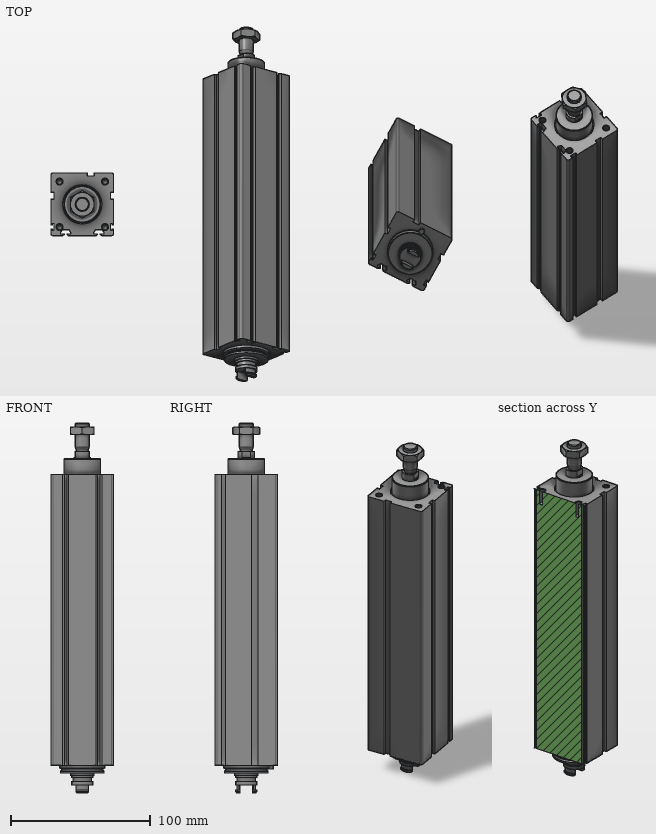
import cadquery as cq
import math


TOTAL_HEIGHT = 264.8
TAIL_LENGTH = 19.5
ROD_TOP = TOTAL_HEIGHT - TAIL_LENGTH

WIDTH = 45.0
HALF = WIDTH / 2
HOUSING_HEIGHT = 208.5
CORNER_RADIUS = 1.5
CORNER_HOLE_SPACING = 32.5
CORNER_HOLE_DIAMETER = 4.0
CORNER_HOLE_DEPTH = 10.5
CORNER_HOLE_MOUTH = 5.0
DRILL_POINT_ANGLE = 118
PLAIN_SLOT_WIDTH = 4.8
PLAIN_SLOT_DEPTH = 2.0
PLAIN_SLOT_OFFSET = 6.0
SIDE_SLOT_Y = -16.2
SIDE_SLOT_OPENING = 3.0
SIDE_SLOT_INNER_WIDTH = 4.5
SIDE_SLOT_LIP = 1.0
SIDE_SLOT_DEPTH = 2.0
FRONT_SLOT_X = 12.0
FRONT_SLOT_MOUTH = 4.5
FRONT_SLOT_MOUTH_DEPTH = 0.8
FRONT_SLOT_OPENING = 1.9
FRONT_SLOT_INNER_WIDTH = 7.1
FRONT_SLOT_FLOOR = 4.8
FRONT_SLOT_LIP = 1.3
FRONT_SLOT_SHOULDER = 2.5
FRONT_SLOT_DEPTH = 4.2
RECESS_DIAMETER = 28.0
RECESS_DEPTH = 1.5
RECESS_FLOOR = HOUSING_HEIGHT - RECESS_DEPTH

COLLAR_DIAMETER = 26.5
COLLAR_TOP = HOUSING_HEIGHT + 11.0
COLLAR_CHAMFER = 0.5

ROD_DIAMETER = 12.0
ROD_FLATS = 10.0
FLATS_BOTTOM = COLLAR_TOP + 0.8
FLATS_TOP = FLATS_BOTTOM + 4.5
NECK_DIAMETER = 8.7
NECK_TOP = FLATS_TOP + 1.0
THREAD_DIAMETER = 10.0
THREAD_CHAMFER = (THREAD_DIAMETER - NECK_DIAMETER) / 2
THREAD_BOTTOM = NECK_TOP + 2.0

NUT_FLATS = 17.0
NUT_HEIGHT = 5.5
NUT_TOP_GAP = 3.0
NUT_CHAMFER_ANGLE = 25

FLANGE_DIAMETER = 32.5
FLANGE_NECK_DIAMETER = 29.7
FLANGE_RIM_DIAMETER = 31.2
FLANGE_EDGE = 1.9
FLANGE_NECK_TOP = 2.5
FLANGE_NECK_BOTTOM = 3.2
FLANGE_RIM_TOP = 4.2
FLANGE_DEPTH = 5.5

SHOULDER_DIAMETER = 17.0
BAND_DIAMETER = 15.4
GROOVE_DIAMETER = 13.5
SHOULDER_BOTTOM = 7.1
UPPER_BAND_BOTTOM = 8.7
GROOVE_BOTTOM = 11.7
LOWER_BAND_BOTTOM = 14.0
BARB_TOP = 17.5
BARB_EDGE = 18.5
BARB_CHAMFER = 0.8
PRONG_WIDTH = 9.0
PRONG_GAP = 8.7

PIN_DIAMETER = 4.0
PIN_Y = 17.5
PIN_LENGTH = 2.6


def revolve_profile(points):
    """Solid of revolution about Z from (radius, height) points."""
    return cq.Workplane("XZ").polyline(points).close().revolve(360, (0, 0, 0), (0, 1, 0))


def disc(diameter, bottom, top):
    return cq.Workplane("XY").workplane(offset=bottom).circle(diameter / 2).extrude(top - bottom)


def slot(points):
    """Full-height cutter from a closed XY outline."""
    return cq.Workplane("XY").polyline(points).close().extrude(HOUSING_HEIGHT)


def plain_slots():
    """Three rectangular slots: one on the +Y side and one on each X side."""
    across = 2 * PLAIN_SLOT_DEPTH
    back = (
        cq.Workplane("XY")
        .center(PLAIN_SLOT_OFFSET, HALF)
        .rect(PLAIN_SLOT_WIDTH, across)
        .extrude(HOUSING_HEIGHT)
    )
    sides = (
        cq.Workplane("XY")
        .pushPoints([(-HALF, PLAIN_SLOT_OFFSET), (HALF, PLAIN_SLOT_OFFSET)])
        .rect(across, PLAIN_SLOT_WIDTH)
        .extrude(HOUSING_HEIGHT)
    )
    return back.add(sides).combine()


def side_slot():
    """T-slot on the -X side."""
    opening = SIDE_SLOT_OPENING / 2
    inner = SIDE_SLOT_INNER_WIDTH / 2
    lip = SIDE_SLOT_LIP - HALF
    floor = SIDE_SLOT_DEPTH - HALF
    return slot([
        (-HALF, SIDE_SLOT_Y - opening),
        (lip, SIDE_SLOT_Y - opening),
        (lip, SIDE_SLOT_Y - inner),
        (floor, SIDE_SLOT_Y - inner),
        (floor, SIDE_SLOT_Y + inner),
        (lip, SIDE_SLOT_Y + inner),
        (lip, SIDE_SLOT_Y + opening),
        (-HALF, SIDE_SLOT_Y + opening),
    ])


def front_slot():
    """Sensor slot on the -Y side: chamfered mouth, narrow opening, wide inside, tapered floor."""
    half_section = [
        (FRONT_SLOT_MOUTH / 2, -HALF),
        (FRONT_SLOT_OPENING / 2, FRONT_SLOT_MOUTH_DEPTH - HALF),
        (FRONT_SLOT_OPENING / 2, FRONT_SLOT_LIP - HALF),
        (FRONT_SLOT_INNER_WIDTH / 2, FRONT_SLOT_LIP - HALF),
        (FRONT_SLOT_INNER_WIDTH / 2, FRONT_SLOT_SHOULDER - HALF),
        (FRONT_SLOT_FLOOR / 2, FRONT_SLOT_DEPTH - HALF),
    ]
    right = [(FRONT_SLOT_X + x, y) for x, y in half_section]
    left = [(FRONT_SLOT_X - x, y) for x, y in reversed(half_section)]
    return slot(right + left)


def corner_hole():
    """Blind drilled hole with a chamfered mouth, its axis on Z."""
    radius = CORNER_HOLE_DIAMETER / 2
    mouth = CORNER_HOLE_MOUTH / 2
    bottom = HOUSING_HEIGHT - CORNER_HOLE_DEPTH
    tip = bottom - radius / math.tan(math.radians(DRILL_POINT_ANGLE / 2))
    return revolve_profile([
        (0, tip),
        (radius, bottom),
        (radius, HOUSING_HEIGHT - (mouth - radius)),
        (mouth, HOUSING_HEIGHT),
        (0, HOUSING_HEIGHT),
    ])


def make_housing():
    body = cq.Workplane("XY").rect(WIDTH, WIDTH).extrude(HOUSING_HEIGHT)
    body = body.edges("|Z").fillet(CORNER_RADIUS)
    body = body.cut(plain_slots())
    for cutter in (side_slot(), front_slot()):
        body = body.cut(cutter).cut(cutter.mirror("YZ"))
    reach = CORNER_HOLE_SPACING / 2
    for x in (-reach, reach):
        for y in (-reach, reach):
            body = body.cut(corner_hole().translate((x, y, 0)))
    return body.cut(disc(RECESS_DIAMETER, RECESS_FLOOR, HOUSING_HEIGHT))


def make_collar():
    ring = disc(COLLAR_DIAMETER, RECESS_FLOOR, COLLAR_TOP).faces(">Z").chamfer(COLLAR_CHAMFER)
    return ring.cut(disc(ROD_DIAMETER, RECESS_FLOOR, COLLAR_TOP))


def make_rod():
    """Piston rod with wrench flats facing X, a thread undercut and an end modelled without its thread."""
    rod = disc(ROD_DIAMETER, RECESS_FLOOR, FLATS_BOTTOM)
    flats = disc(ROD_DIAMETER, FLATS_BOTTOM, FLATS_TOP).intersect(
        cq.Workplane("XY")
        .workplane(offset=FLATS_BOTTOM)
        .rect(ROD_FLATS, ROD_DIAMETER)
        .extrude(FLATS_TOP - FLATS_BOTTOM)
    )
    neck = NECK_DIAMETER / 2
    thread = THREAD_DIAMETER / 2
    threaded_end = revolve_profile([
        (0, FLATS_TOP),
        (neck, FLATS_TOP),
        (neck, NECK_TOP),
        (thread, THREAD_BOTTOM),
        (thread, ROD_TOP - THREAD_CHAMFER),
        (neck, ROD_TOP),
        (0, ROD_TOP),
    ])
    return rod.union(flats).union(threaded_end)


def make_nut():
    """Hexagon nut with two corners on the Y axis and both ends chamfered to the flats."""
    top = ROD_TOP - NUT_TOP_GAP
    bottom = top - NUT_HEIGHT
    flat = NUT_FLATS / 2
    corner = flat / math.cos(math.pi / 6)
    drop = (corner - flat) * math.tan(math.radians(NUT_CHAMFER_ANGLE))
    hexagon = (
        cq.Workplane("XY")
        .workplane(offset=bottom)
        .transformed(rotate=(0, 0, 90))
        .polygon(6, 2 * corner)
        .extrude(NUT_HEIGHT)
    )
    envelope = revolve_profile([
        (0, bottom),
        (flat, bottom),
        (corner, bottom + drop),
        (corner, top - drop),
        (flat, top),
        (0, top),
    ])
    return hexagon.intersect(envelope).cut(disc(THREAD_DIAMETER, bottom, top))


def make_flange():
    flange = revolve_profile([
        (0, 0),
        (FLANGE_DIAMETER / 2, 0),
        (FLANGE_DIAMETER / 2, -FLANGE_EDGE),
        (FLANGE_NECK_DIAMETER / 2, -FLANGE_NECK_TOP),
        (FLANGE_NECK_DIAMETER / 2, -FLANGE_NECK_BOTTOM),
        (FLANGE_RIM_DIAMETER / 2, -FLANGE_RIM_TOP),
        (FLANGE_RIM_DIAMETER / 2, -FLANGE_DEPTH),
        (0, -FLANGE_DEPTH),
    ])
    return flange.cut(make_pin())


def make_connector():
    """Round plug with a groove, ending in two barbed prongs on the Y axis."""
    band = BAND_DIAMETER / 2
    groove = GROOVE_DIAMETER / 2
    plug = revolve_profile([
        (0, -FLANGE_DEPTH),
        (SHOULDER_DIAMETER / 2, -FLANGE_DEPTH),
        (SHOULDER_DIAMETER / 2, -SHOULDER_BOTTOM),
        (band, -SHOULDER_BOTTOM),
        (band, -UPPER_BAND_BOTTOM),
        (groove, -UPPER_BAND_BOTTOM),
        (groove, -GROOVE_BOTTOM),
        (band, -GROOVE_BOTTOM),
        (band, -LOWER_BAND_BOTTOM),
        (0, -LOWER_BAND_BOTTOM),
    ])
    prongs = revolve_profile([
        (0, -LOWER_BAND_BOTTOM),
        (groove, -LOWER_BAND_BOTTOM),
        (groove, -BARB_TOP),
        (band, -BARB_TOP),
        (band, -BARB_EDGE),
        (band - BARB_CHAMFER, -TAIL_LENGTH),
        (0, -TAIL_LENGTH),
    ])
    prong_length = TAIL_LENGTH - LOWER_BAND_BOTTOM
    tail = cq.Workplane("XY").workplane(offset=-TAIL_LENGTH)
    blade = tail.rect(PRONG_WIDTH, BAND_DIAMETER).extrude(prong_length)
    prongs = prongs.intersect(blade.faces("<Z").edges("|Y").chamfer(BARB_CHAMFER))
    prongs = prongs.cut(tail.rect(PRONG_WIDTH, PRONG_GAP).extrude(prong_length))
    return plug.union(prongs)


def make_pin():
    return disc(PIN_DIAMETER, -PIN_LENGTH, 0).translate((0, PIN_Y, 0))


housing = make_housing()
collar = make_collar()
rod = make_rod()
nut = make_nut()
flange = make_flange()
connector = make_connector()
pin = make_pin()

result = cq.Compound.makeCompound([
    housing.val(),
    collar.val(),
    rod.val(),
    nut.val(),
    flange.val(),
    connector.val(),
    pin.val(),
])